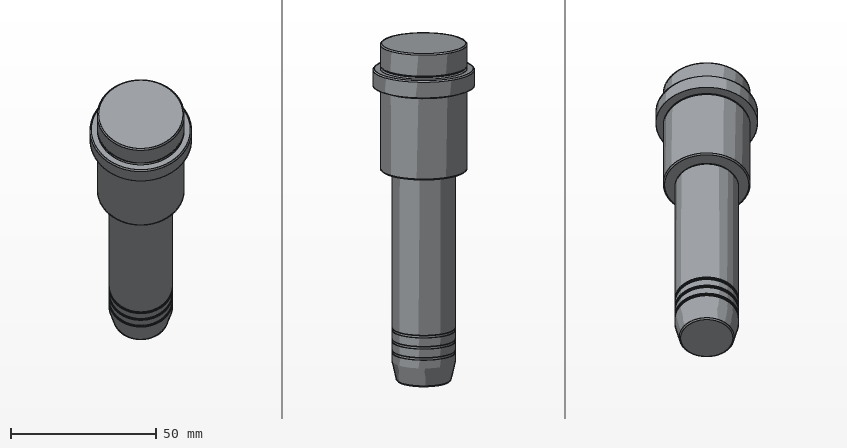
import cadquery as cq

total_height = 120.0
body_bottom = 75.0
flange_bottom = 105.0
flange_top = 111.0

flange_radius = 17.5
body_radius = 15.0
pin_radius = 22.0 / 2

taper_height = 7.0
tip_radius = 9.5
tip_chamfer = 0.5

edge_chamfer = 0.5

flange_relief_depth = 0.5
flange_relief_width = 1.0
neck_relief_depth = 0.6
neck_relief_width = 1.0

groove_count = 3
groove_pitch = 4.0
groove_width = 1.0
groove_depth = 0.2
lowest_groove_bottom = 10.0


def cylinder(radius, bottom, top):
    return cq.Workplane("XY").workplane(offset=bottom).circle(radius).extrude(top - bottom)


def ring_cutter(radius, bottom, width, depth, lower_flare=0, upper_flare=0):
    """Ring cutter whose side walls may flare out, each over its given height."""
    floor_radius = radius - depth
    clear_radius = radius + depth
    top = bottom + width
    outline = [
        (clear_radius, bottom),
        (radius, bottom),
        (floor_radius, bottom + lower_flare),
        (floor_radius, top - upper_flare),
        (radius, top),
        (clear_radius, top),
    ]
    return cq.Workplane("XZ").polyline(outline).close().revolve(360, (0, 0, 0), (0, 1, 0))


def make_pin():
    """Pin with its tapered, chamfered lower end."""
    return (
        cq.Workplane("XZ")
        .lineTo(tip_radius - tip_chamfer, 0)
        .lineTo(tip_radius, tip_chamfer)
        .lineTo(pin_radius, taper_height)
        .lineTo(pin_radius, body_bottom)
        .lineTo(0, body_bottom)
        .close()
        .revolve(360, (0, 0, 0), (0, 1, 0))
    )


body = cylinder(body_radius, body_bottom, total_height).edges().chamfer(edge_chamfer)
flange = cylinder(flange_radius, flange_bottom, flange_top).faces(">Z").edges().chamfer(edge_chamfer)

for relief_bottom in (flange_top, flange_bottom - flange_relief_width):
    body = body.cut(
        ring_cutter(
            body_radius,
            relief_bottom,
            flange_relief_width,
            flange_relief_depth,
            lower_flare=flange_relief_depth,
        )
    )

neck_bottom = body_bottom - neck_relief_width
pin = make_pin().cut(ring_cutter(pin_radius, neck_bottom, neck_relief_width, neck_relief_depth))

for index in range(groove_count):
    groove_bottom = lowest_groove_bottom + index * groove_pitch
    pin = pin.cut(
        ring_cutter(pin_radius, groove_bottom, groove_width, groove_depth, upper_flare=groove_depth)
    )

result = pin.union(body).union(flange)